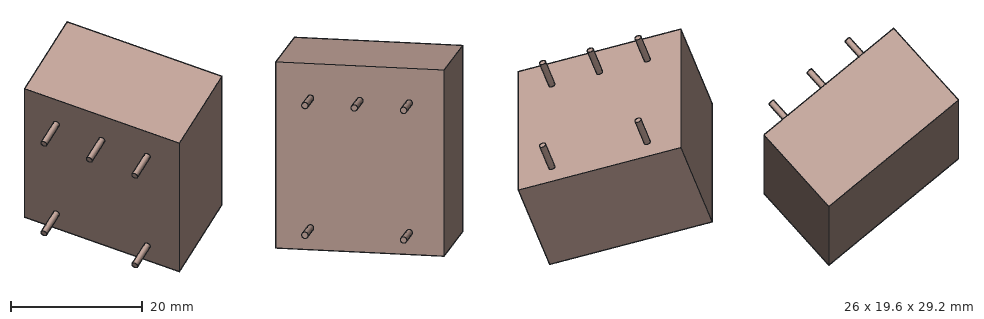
import cadquery as cq

width = 26.0
height = 29.2
total_depth = 19.6

pin_length = 4.5
pin_diameter = 1.0
pin_pitch = 7.62
lower_row_z = 3.45
row_spacing = 20.32

body_depth = total_depth - pin_length
upper_row_z = lower_row_z + row_spacing

pin_positions = [
    (-pin_pitch, upper_row_z),
    (0, upper_row_z),
    (pin_pitch, upper_row_z),
    (-pin_pitch, lower_row_z),
    (pin_pitch, lower_row_z),
]

housing = cq.Workplane("XY").box(width, body_depth, height, centered=(True, False, False))

pins = (
    cq.Workplane("XZ")
    .pushPoints(pin_positions)
    .circle(pin_diameter / 2)
    .extrude(pin_length)
)

result = housing.union(pins)